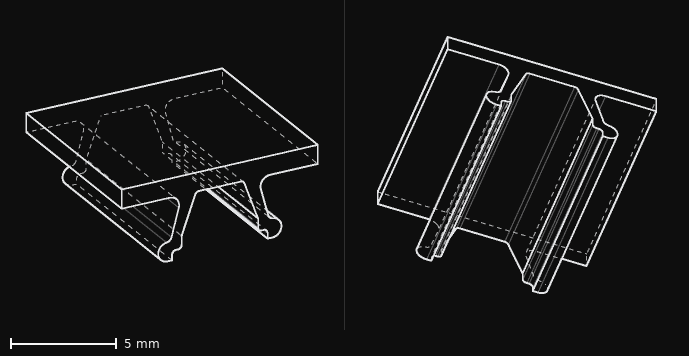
import cadquery as cq
import math

length = 9.6
plate_width = 10.5
plate_thickness = 1.0

leg_drop = 3.3
leg_inner_face = 2.04
inner_bend_z = -2.13
inner_angle = math.radians(20)
inner_root = leg_inner_face + inner_bend_z * math.tan(inner_angle)
outer_root = 2.03
outer_angle = math.radians(15)

bead_radius = 0.5
bead_y = 2.8
bead_z = bead_radius - leg_drop
lip_inner_face = 2.55
step_z = -2.8

inner_root_radius = 0.2
outer_root_radius = 0.5
neck_radius = 0.3
step_radius = 0.2

overlap = plate_thickness / 2


def make_plate():
    return cq.Workplane("XY").box(length, plate_width, plate_thickness, centered=(True, True, False))


def outer_face_y(z):
    """Y of the sloping outer leg face at height z."""
    return outer_root - z * math.tan(outer_angle)


def neck_point():
    """Point where the outer leg face runs into the upper side of the bead."""
    gap = (bead_y - outer_face_y(bead_z)) * math.cos(outer_angle)
    half_chord = math.sqrt(bead_radius**2 - gap**2)
    y = bead_y - gap * math.cos(outer_angle) - half_chord * math.sin(outer_angle)
    z = bead_z - gap * math.sin(outer_angle) + half_chord * math.cos(outer_angle)
    return y, z


def make_leg():
    """Leg on the +Y side, with its bead and the step inside the foot."""
    return (
        cq.Workplane("YZ", origin=(-length / 2, 0, 0))
        .moveTo(inner_root, overlap)
        .lineTo(inner_root, 0)
        .lineTo(leg_inner_face, inner_bend_z)
        .lineTo(leg_inner_face, step_z)
        .lineTo(lip_inner_face, step_z)
        .lineTo(lip_inner_face, -leg_drop)
        .lineTo(bead_y, -leg_drop)
        .threePointArc((bead_y + bead_radius, bead_z), neck_point())
        .lineTo(outer_root, 0)
        .lineTo(outer_root, overlap)
        .close()
        .extrude(length)
    )


def fillet_corner(body, y, z, radius):
    """Round the lengthwise edge at (y, z) and its mirror image at (-y, z)."""
    for side in (1, -1):
        edge = cq.selectors.NearestToPointSelector((0, side * y, z))
        body = body.edges("|X").edges(edge).fillet(radius)
    return body


leg = make_leg()
body = make_plate().union(leg).union(leg.mirror("XZ"))

body = fillet_corner(body, inner_root, 0, inner_root_radius)
body = fillet_corner(body, outer_root, 0, outer_root_radius)
body = fillet_corner(body, *neck_point(), neck_radius)
body = fillet_corner(body, leg_inner_face, step_z, step_radius)
result = fillet_corner(body, lip_inner_face, step_z, step_radius)